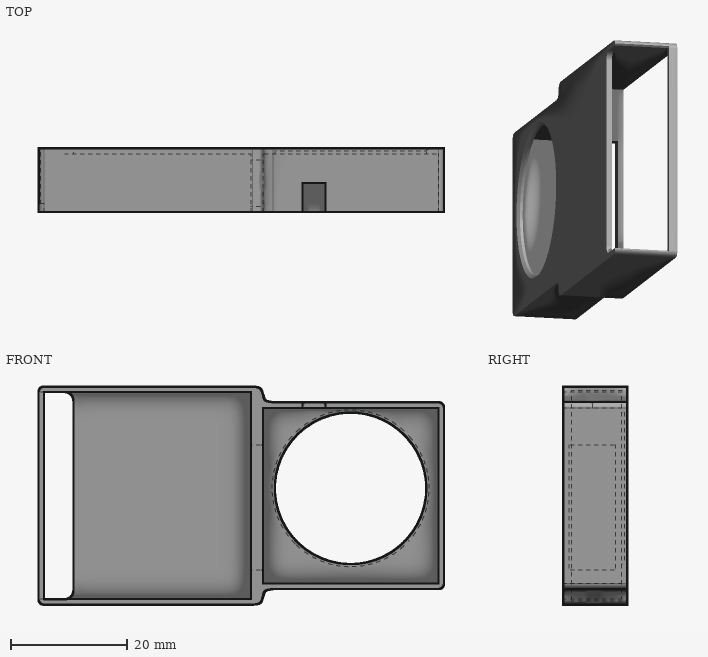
import cadquery as cq

length = 69.75
depth = 11.0
height = 37.5
wall = 1.0
back = 1.0
divider = 2.0
corner_radius = 1.0

large_inside = height - 2 * wall
divider_left = wall + large_inside
divider_right = divider_left + divider
small_inside = length - wall - divider_right
small_height = small_inside + 2 * wall
mid_z = height / 2
small_center_x = divider_right + small_inside / 2

blend_length = 3.55
blend_reach = 0.9 * blend_length

round_diameter = 26.0
round_rise = 1.25
round_chamfer = 0.5

front_bar_depth = 1.45
slot_end = 6.0
slot_radius = 1.45
end_lip = 0.6
end_bevel = 0.35

window_front = 1.0
window_back = depth - 2.0
window_bottom = 6.0
window_height = 21.5

notch_left = 45.4
notch_width = 4.0
notch_depth = 5.0


def box(x0, x1, y0, y1, z0, z1):
    """Box between two opposite corners."""
    return cq.Workplane("XY").box(x1 - x0, y1 - y0, z1 - z0, centered=False).translate((x0, y0, z0))


def outer_body():
    """Solid outline of both compartments, with a smooth curve at the step in height."""
    half_large = height / 2
    half_small = small_height / 2
    blend_start = divider_right - blend_length / 2
    blend_end = divider_right + blend_length / 2
    upper_half = (
        cq.Workplane("XZ")
        .moveTo(0, 0)
        .lineTo(0, half_large)
        .lineTo(blend_start, half_large)
        .bezier([
            (blend_start, half_large),
            (blend_start + blend_reach, half_large),
            (blend_end - blend_reach, half_small),
            (blend_end, half_small),
        ])
        .lineTo(length, half_small)
        .lineTo(length, 0)
        .close()
        .extrude(-depth)
    )
    body = upper_half.union(upper_half.mirror("XY")).clean()
    body = body.translate((0, 0, mid_z))
    end_corners = body.edges("|Y").edges("<X or >X")
    return end_corners.fillet(corner_radius)


def compartment(left, inside):
    """Square pocket, open at the front and centered in height."""
    return box(left, left + inside, 0, depth - back, mid_z - inside / 2, mid_z + inside / 2)


def end_opening():
    """Opening through the left wall and back, leaving a bar across the front and beveled wall ends."""
    slot = box(-slot_end, slot_end, front_bar_depth, depth, wall, height - wall)
    slot = slot.edges("|Y and >X").fillet(slot_radius)
    bevels = (
        cq.Workplane("XZ", origin=(0, front_bar_depth, 0))
        .moveTo(0, end_lip)
        .lineTo(end_bevel, wall)
        .lineTo(end_bevel, height - wall)
        .lineTo(0, height - end_lip)
        .close()
        .extrude(-(depth - front_bar_depth))
    )
    return slot.union(bevels)


def round_opening():
    """Round hole in the back of the small compartment, chamfered on its rear edge."""
    hole = (
        cq.Workplane("XZ")
        .center(small_center_x, mid_z + round_rise)
        .circle(round_diameter / 2)
        .extrude(-depth)
    )
    relief = (
        cq.Workplane("XZ", origin=(0, depth, 0))
        .center(small_center_x, mid_z + round_rise)
        .circle(round_diameter / 2 + round_chamfer)
        .extrude(round_chamfer, taper=45)
    )
    return hole.union(relief)


def divider_window():
    """Rectangular passage between the compartments."""
    return box(
        divider_left, divider_right,
        window_front, window_back,
        window_bottom, window_bottom + window_height,
    )


def top_notch():
    """Rectangular notch through the top wall of the small compartment."""
    top = mid_z + small_height / 2
    return box(notch_left, notch_left + notch_width, 0, notch_depth, top - wall, top)


result = (
    outer_body()
    .cut(compartment(wall, large_inside))
    .cut(compartment(divider_right, small_inside))
    .cut(end_opening())
    .cut(round_opening())
    .cut(divider_window())
    .cut(top_notch())
)